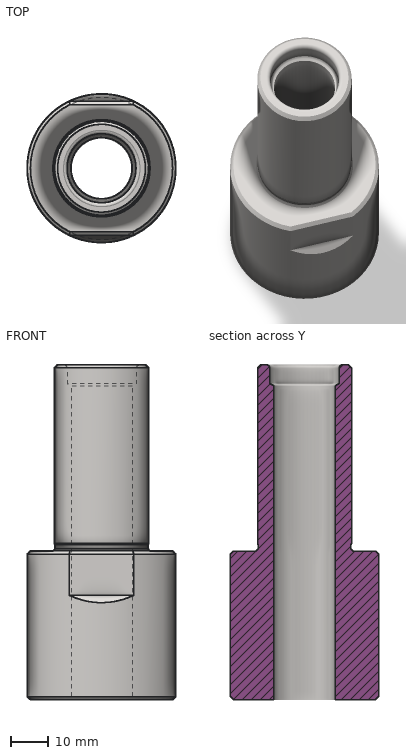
import cadquery as cq
import math

total_height = 90.0
body_diameter = 40.0
body_height = 40.0
shaft_diameter = 25.4
edge_chamfer = 0.9

neck_diameter = 25.0
neck_flare = 0.5
neck_flare_top = body_height + neck_flare
neck_top = 41.6
shaft_bottom = 42.0

bore_diameter = 16.4
counterbore_diameter = 18.5
counterbore_depth = 5.0
floor_drop = 0.6
mouth_radius = 1.0

flats_width = 36.0
flat_bottom = 28.1

body_radius = body_diameter / 2
shaft_radius = shaft_diameter / 2
neck_radius = neck_diameter / 2
flat_offset = flats_width / 2
flat_depth = body_radius - flat_offset


def make_turned_blank():
    """Revolve the body, relieved neck and shaft about the Z axis."""
    profile = (
        cq.Workplane("XZ")
        .moveTo(0, 0)
        .lineTo(body_radius - edge_chamfer, 0)
        .lineTo(body_radius, edge_chamfer)
        .lineTo(body_radius, body_height - edge_chamfer)
        .lineTo(body_radius - edge_chamfer, body_height)
        .lineTo(neck_radius + neck_flare, body_height)
        .lineTo(neck_radius, neck_flare_top)
        .lineTo(neck_radius, neck_top)
        .lineTo(shaft_radius, shaft_bottom)
        .lineTo(shaft_radius, total_height - edge_chamfer)
        .lineTo(shaft_radius - edge_chamfer, total_height)
        .lineTo(0, total_height)
        .close()
    )
    return profile.revolve(360, (0, 0, 0), (0, 1, 0))


def make_bore():
    """Through hole with a conical-floored counterbore and a rounded mouth at the top."""
    bore_radius = bore_diameter / 2
    counterbore_radius = counterbore_diameter / 2
    arc_inset = mouth_radius * (1 - math.sqrt(0.5))
    mouth_midpoint = (counterbore_radius + arc_inset, total_height - arc_inset)
    counterbore_floor = total_height - counterbore_depth
    profile = (
        cq.Workplane("XZ")
        .moveTo(0, 0)
        .lineTo(bore_radius, 0)
        .lineTo(bore_radius, counterbore_floor - floor_drop)
        .lineTo(counterbore_radius, counterbore_floor)
        .lineTo(counterbore_radius, total_height - mouth_radius)
        .threePointArc(mouth_midpoint, (counterbore_radius + mouth_radius, total_height))
        .lineTo(0, total_height)
        .close()
    )
    return profile.revolve(360, (0, 0, 0), (0, 1, 0))


def make_flat_cutter(side):
    """Cutter for one flat: 45 degree run-out below, chamfered top edge."""
    profile = (
        cq.Workplane("YZ")
        .moveTo(side * body_radius, flat_bottom - flat_depth)
        .lineTo(side * flat_offset, flat_bottom)
        .lineTo(side * flat_offset, body_height - edge_chamfer)
        .lineTo(side * (flat_offset - edge_chamfer), body_height)
        .lineTo(side * body_radius, body_height)
        .close()
    )
    return profile.extrude(body_radius, both=True)


result = make_turned_blank().cut(make_bore())
for side in (-1, 1):
    result = result.cut(make_flat_cutter(side))